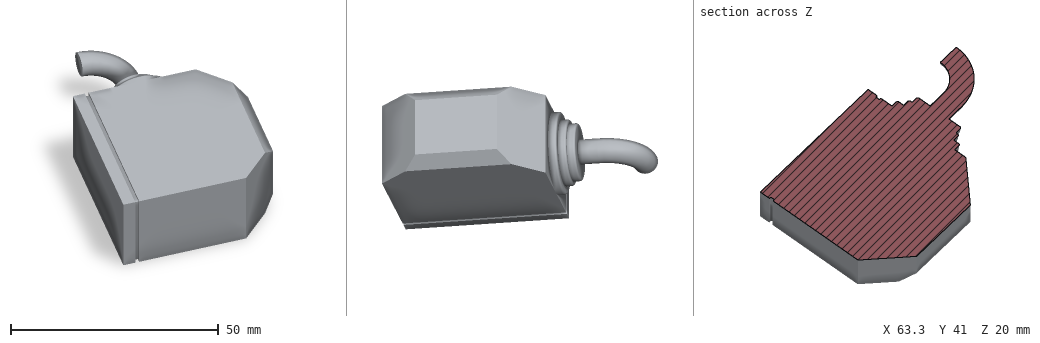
import cadquery as cq

WIDTH = 40.0
LENGTH = 41.0
HEIGHT = 20.0
CORNER_CUT = 10.0
REAR_EDGE_CUT = 3.0

COVER_THICKNESS = 3.0
GROOVE_WIDTH = 1.0
GROOVE_DEPTH = 0.5

GLAND_DIAMETERS = (20.0, 16.0, 14.0)
GLAND_STEP = 2.0
GLAND_FILLET = 0.5
GLAND_Y = 17.5

CABLE_DIAMETER = 6.0
CABLE_BEND_RADIUS = 9.5
CABLE_REACH = 23.26
CABLE_STRAIGHT = (
    CABLE_REACH
    - len(GLAND_DIAMETERS) * GLAND_STEP
    - CABLE_BEND_RADIUS
    - CABLE_DIAMETER / 2
)


def make_housing():
    """Block with its front face at Y = 0, its -X face at X = 0 and centred on Z."""
    block = cq.Workplane("XY").box(WIDTH, LENGTH, HEIGHT, centered=(False, False, True))
    block = block.edges("|Z and >Y").chamfer(CORNER_CUT)

    inner_y = LENGTH - REAR_EDGE_CUT
    half_height = HEIGHT / 2
    side_profile = (
        cq.Workplane("YZ")
        .moveTo(0, -half_height)
        .lineTo(inner_y, -half_height)
        .lineTo(LENGTH, REAR_EDGE_CUT - half_height)
        .lineTo(LENGTH, half_height - REAR_EDGE_CUT)
        .lineTo(inner_y, half_height)
        .lineTo(0, half_height)
        .close()
        .extrude(WIDTH)
    )
    return block.intersect(side_profile)


def make_groove():
    """Rectangular ring that cuts the groove behind the cover plate."""
    return (
        cq.Workplane("XZ", origin=(WIDTH / 2, COVER_THICKNESS, 0))
        .rect(WIDTH, HEIGHT)
        .rect(WIDTH - 2 * GROOVE_DEPTH, HEIGHT - 2 * GROOVE_DEPTH)
        .extrude(-GROOVE_WIDTH)
    )


def make_gland_ring(index, diameter):
    """One gland step, rounded on its outer rim."""
    return (
        cq.Workplane("YZ", origin=(-index * GLAND_STEP, GLAND_Y, 0))
        .circle(diameter / 2)
        .extrude(-GLAND_STEP)
        .faces("<X")
        .edges()
        .fillet(GLAND_FILLET)
    )


def make_cable():
    """Round cable swept straight out of the gland and through its bend."""
    start_x = -len(GLAND_DIAMETERS) * GLAND_STEP
    bend_x = start_x - CABLE_STRAIGHT
    path = (
        cq.Workplane("XY")
        .moveTo(start_x, GLAND_Y)
        .lineTo(bend_x, GLAND_Y)
        .tangentArcPoint((-CABLE_BEND_RADIUS, -CABLE_BEND_RADIUS))
    )
    return (
        cq.Workplane("YZ", origin=(start_x, GLAND_Y, 0))
        .circle(CABLE_DIAMETER / 2)
        .sweep(path)
    )


result = make_housing().cut(make_groove())
for ring_index, ring_diameter in enumerate(GLAND_DIAMETERS):
    result = result.union(make_gland_ring(ring_index, ring_diameter))
result = result.union(make_cable())